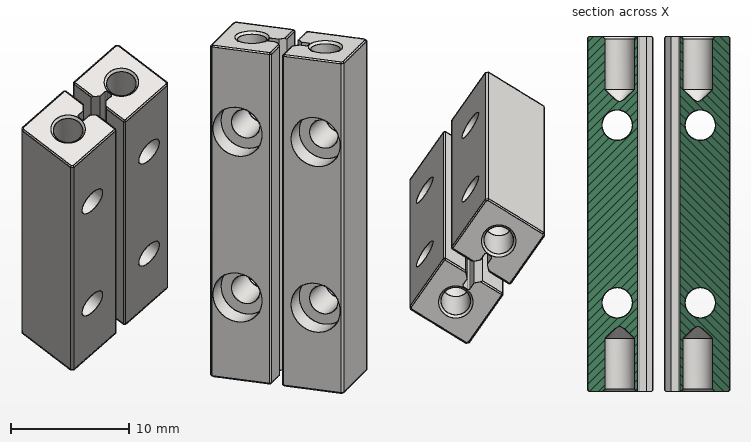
import cadquery as cq
import math

LENGTH = 30.0
WIDTH = 6.0
PAIR_DEPTH = 12.0
GAP = 1.0
INNER_FACE = GAP / 2
OUTER_FACE = PAIR_DEPTH / 2
OUTER_CHAMFER = 0.2
FINE_CHAMFER = 0.12

GROOVE_HALF_WIDTH = 0.87
GROOVE_ANGLE = 45.0
RELIEF_WIDTH = 0.7
RELIEF_BOTTOM = 1.8
RELIEF_FILLET = 0.15

MOUNT_Y = 3.5
MOUNT_SPACING = 15.0
MOUNT_DIAMETER = 2.55
COUNTERBORE_DIAMETER = 4.4
COUNTERBORE_DEPTH = 2.0

END_HOLE_Y = 3.3
END_HOLE_DIAMETER = 2.5
END_HOLE_DEPTH = 4.5
END_HOLE_MOUTH = 2.9
DRILL_POINT_ANGLE = 90.0


def rail_blank():
    """Chamfered bar on the +Y side of the gap."""
    depth = OUTER_FACE - INNER_FACE
    return (
        cq.Workplane("XY")
        .box(WIDTH, depth, LENGTH)
        .edges("|Z and >Y")
        .chamfer(OUTER_CHAMFER)
        .edges("|Z and <Y")
        .chamfer(FINE_CHAMFER)
        .faces("<Z or >Z")
        .chamfer(FINE_CHAMFER)
        .translate((0, INNER_FACE + depth / 2, 0))
    )


def roller_groove():
    """V-shaped groove with a narrow relief slot at its root, over the full length."""
    relief_half = RELIEF_WIDTH / 2
    flank_depth = (GROOVE_HALF_WIDTH - relief_half) * math.tan(math.radians(GROOVE_ANGLE))
    root = INNER_FACE + flank_depth
    return (
        cq.Workplane("XY", origin=(0, 0, -LENGTH / 2))
        .moveTo(-GROOVE_HALF_WIDTH, INNER_FACE)
        .lineTo(-relief_half, root)
        .lineTo(-relief_half, RELIEF_BOTTOM)
        .lineTo(relief_half, RELIEF_BOTTOM)
        .lineTo(relief_half, root)
        .lineTo(GROOVE_HALF_WIDTH, INNER_FACE)
        .close()
        .extrude(LENGTH)
        .edges("|Z and >Y")
        .fillet(RELIEF_FILLET)
    )


def mounting_hole(z):
    """Through hole along X, counterbored from the -X side."""
    start = cq.Workplane("YZ", origin=(-WIDTH / 2, MOUNT_Y, z))
    through = start.circle(MOUNT_DIAMETER / 2).extrude(WIDTH)
    counterbore = start.circle(COUNTERBORE_DIAMETER / 2).extrude(COUNTERBORE_DEPTH)
    return through.union(counterbore)


def end_hole():
    """Blind hole in the top end, with a 45-degree mouth and a conical drill point."""
    radius = END_HOLE_DIAMETER / 2
    mouth_radius = END_HOLE_MOUTH / 2
    top = LENGTH / 2
    floor = top - END_HOLE_DEPTH
    tip = floor - radius / math.tan(math.radians(DRILL_POINT_ANGLE / 2))
    return (
        cq.Workplane("XZ")
        .moveTo(0, top)
        .lineTo(mouth_radius, top)
        .lineTo(radius, top - (mouth_radius - radius))
        .lineTo(radius, floor)
        .lineTo(0, tip)
        .close()
        .revolve(360, (0, 0, 0), (0, 1, 0))
        .translate((0, END_HOLE_Y, 0))
    )


def rail():
    """Finished rail on the +Y side."""
    body = rail_blank().cut(roller_groove())
    for z in (-MOUNT_SPACING / 2, MOUNT_SPACING / 2):
        body = body.cut(mounting_hole(z))
    top_hole = end_hole()
    return body.cut(top_hole).cut(top_hole.mirror("XY"))


rear_rail = rail()
rails = [rear_rail, rear_rail.mirror("XZ")]

result = cq.Compound.makeCompound([body.val() for body in rails])